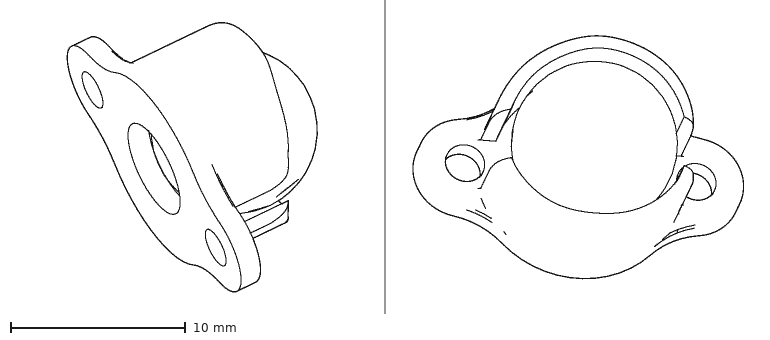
import cadquery as cq
import math

overall_length = 19.03
housing_radius = 6.03
housing_depth = 7.35
bore_radius = 5.18
floor_y = 1.37
rim_fillet = 0.27

crest_end_x = 5.88
crest_end_y = 3.8
crest_points = [
    (-5.77, 5.33),
    (-5.54, 6.15),
    (-4.75, 6.93),
    (-3.24, 7.3),
    (-1.52, housing_depth),
    (0.38, 7.27),
    (2.53, 6.72),
    (4.53, 6.18),
    (5.4, 5.55),
    (5.79, 4.57),
    (crest_end_x, crest_end_y),
]

ball_radius = 4.75
overall_depth = 10.12
ball_center_y = overall_depth - ball_radius

base_hole_radius = 2.85
slot_width = 3.05

ear_thickness = floor_y
ear_hole_radius = 1.15
ear_hole_x = 6.74
ear_radius = overall_length / 2 - ear_hole_x
ear_blend_radius = 5.06
ear_edge_fillet = 0.13
ear_root_fillet = 0.15

tolerance = 0.002


def cylinder_y(radius, start_y, end_y, x=0.0):
    """Cylinder along +Y from start_y to end_y."""
    return cq.Workplane(
        cq.Solid.makeCylinder(radius, end_y - start_y, cq.Vector(x, start_y, 0), cq.Vector(0, 1, 0))
    )


def ball_shape(radius):
    return cq.Workplane("XY").sphere(radius).translate((0, ball_center_y, 0))


def make_ear():
    """Ear on the +X side, reaching the axis; concave arcs make it tangent to the round cup."""
    to_axis = housing_radius + ear_blend_radius
    to_ear = ear_radius + ear_blend_radius
    blend_x = (to_axis**2 - to_ear**2 + ear_hole_x**2) / (2 * ear_hole_x)
    blend_z = math.sqrt(to_axis**2 - blend_x**2)

    base_x = blend_x * housing_radius / to_axis
    base_z = blend_z * housing_radius / to_axis
    ear_x = ear_hole_x + (blend_x - ear_hole_x) * ear_radius / to_ear
    ear_z = blend_z * ear_radius / to_ear
    to_blend_middle = math.hypot(blend_x - ear_hole_x / 2, blend_z)
    middle_x = blend_x - ear_blend_radius * (blend_x - ear_hole_x / 2) / to_blend_middle
    middle_z = blend_z - ear_blend_radius * blend_z / to_blend_middle

    ear = (
        cq.Workplane("XZ")
        .lineTo(base_x, base_z)
        .threePointArc((middle_x, middle_z), (ear_x, ear_z))
        .threePointArc((overall_length / 2, 0), (ear_x, -ear_z))
        .threePointArc((middle_x, -middle_z), (base_x, -base_z))
        .close()
        .extrude(-ear_thickness)
    )
    return ear.faces(">Y").edges("%CIRCLE").fillet(ear_edge_fillet)


def make_slot():
    """Slot across the cup that splits its wall into two prongs."""
    return cq.Workplane("XY").box(
        overall_length, overall_depth, slot_width, centered=(True, False, True)
    ).translate((0, floor_y, 0))


def cut_crest(body):
    """Remove everything above the crest curve."""
    above_crest = (
        cq.Workplane("XY")
        .moveTo(-crest_end_x, crest_end_y)
        .spline(crest_points, includeCurrent=True)
        .lineTo(overall_length, crest_end_y)
        .lineTo(overall_length, overall_length)
        .lineTo(-overall_length, overall_length)
        .lineTo(-overall_length, crest_end_y)
        .close()
        .extrude(housing_radius, both=True)
    )
    return body.cut(above_crest)


def is_outer_rim(edge):
    """True for the curved edges where the crest meets the outer wall."""
    middle = edge.positionAt(0.5)
    on_outer_wall = math.hypot(middle.x, middle.z) > (bore_radius + housing_radius) / 2
    return edge.geomType() == "BSPLINE" and on_outer_wall and middle.y > crest_end_y


def round_outer_rim(body):
    rim_edges = [edge for edge in body.edges().vals() if is_outer_rim(edge)]
    return cq.Workplane(body.val().fillet(rim_fillet, rim_edges))


def is_ear_root(edge):
    """True for the arcs where the ear tops meet the outer wall of the cup."""
    middle = edge.positionAt(0.5)
    on_outer_wall = abs(math.hypot(middle.x, middle.z) - housing_radius) < tolerance
    return edge.geomType() == "CIRCLE" and on_outer_wall and abs(middle.y - ear_thickness) < tolerance


def round_ear_roots(body):
    root_edges = [edge for edge in body.edges().vals() if is_ear_root(edge)]
    return cq.Workplane(body.val().fillet(ear_root_fillet, root_edges))


def make_housing():
    """Cup and ears in one body, hollowed out for the ball."""
    housing = cylinder_y(housing_radius, 0, overall_depth)
    housing = housing.cut(make_slot())
    housing = cut_crest(housing)
    housing = round_outer_rim(housing)
    housing = housing.cut(cylinder_y(bore_radius, floor_y, overall_depth))
    housing = housing.union(make_ear())
    housing = housing.union(make_ear().mirror("YZ"))
    housing = round_ear_roots(housing)
    housing = housing.cut(cylinder_y(base_hole_radius, 0, floor_y))
    for x in (-ear_hole_x, ear_hole_x):
        housing = housing.cut(cylinder_y(ear_hole_radius, 0, floor_y, x))
    return housing


housing = make_housing()
ball = ball_shape(ball_radius)
result = cq.Compound.makeCompound([housing.val(), ball.val()])